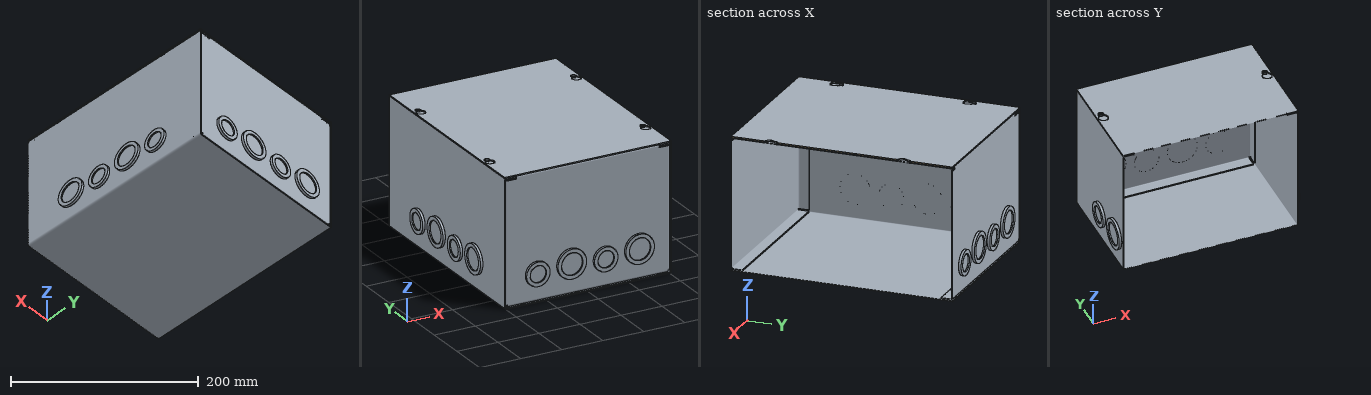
import cadquery as cq


TOTAL_LENGTH = 260.0
TOTAL_WIDTH = 209.3
BODY_HEIGHT = 152.3
LENGTH = 254.0
KNOCKOUT_RISE = (TOTAL_LENGTH - LENGTH) / 2
WIDTH = TOTAL_WIDTH - 2 * KNOCKOUT_RISE

SHEET = 1.43
BEND_INSIDE = 0.9
BEND_OUTSIDE = BEND_INSIDE + SHEET
FLANGE = 13.0
FLOOR_CLEARANCE = 0.5

LIP_CLEARANCE = 1.5
TOP_RELIEF_WIDTH = FLANGE - SHEET + LIP_CLEARANCE
TOP_RELIEF_HEIGHT = 3.5

KNOCKOUT_PITCH = 41.3
SMALL_RADIUS = 14.3
SMALL_RECESS_RADIUS = 10.0
LARGE_RADIUS = 17.5
LARGE_RECESS_RADIUS = 13.0
RECESS_DEPTH = 1.5
END_ROW_BOTTOM = 19.8
SIDE_ROW_BOTTOM = END_ROW_BOTTOM - BEND_OUTSIDE

SCREW_X = 95.0
SCREW_Y = 76.2
SCREW_HOLE_RADIUS = 2.0
KEYHOLE_SLOT_RADIUS = 3.0
KEYHOLE_HEAD_DIAMETER = 10.7
KEYHOLE_TRAVEL = 6.5
SCREW_POINTS = [(x, y) for x in (-SCREW_X, SCREW_X) for y in (-SCREW_Y, SCREW_Y)]


def block(width, length, height, bottom):
    """Box centred on X and Y, standing on the given height."""
    base = cq.Workplane("XY", origin=(0, 0, bottom))
    return base.box(width, length, height, centered=(True, True, False))


def knockout_row(row_bottom):
    """Four recessed discs rising toward -Y from the plane Y = 0, small one first at -X."""
    sizes = [(SMALL_RADIUS, SMALL_RECESS_RADIUS), (LARGE_RADIUS, LARGE_RECESS_RADIUS)] * 2
    row = cq.Workplane("XZ")
    for index, (radius, recess_radius) in enumerate(sizes):
        x = (index - (len(sizes) - 1) / 2) * KNOCKOUT_PITCH
        centre = (x, row_bottom + radius)
        disc = cq.Workplane("XZ", origin=(0, SHEET, 0)).moveTo(*centre).circle(radius)
        disc = disc.extrude(SHEET + KNOCKOUT_RISE)
        recess = cq.Workplane("XZ", origin=(0, -KNOCKOUT_RISE, 0)).moveTo(*centre)
        recess = recess.circle(recess_radius).extrude(-RECESS_DEPTH)
        row = row.add(disc.cut(recess))
    return row.combine()


def make_wrapper():
    """Floor, two sides and two top lips, bent from one sheet."""
    outside = block(WIDTH, LENGTH, BODY_HEIGHT, 0).edges("|Y").fillet(BEND_OUTSIDE)
    inside = block(WIDTH - 2 * SHEET, LENGTH, BODY_HEIGHT - 2 * SHEET, SHEET)
    inside = inside.edges("|Y").fillet(BEND_INSIDE)
    top_opening = block(WIDTH - 2 * FLANGE, LENGTH, 2 * SHEET, BODY_HEIGHT - 2 * SHEET)
    screw_holes = cq.Workplane("XY", origin=(0, 0, BODY_HEIGHT)).pushPoints(SCREW_POINTS)
    screw_holes = screw_holes.circle(SCREW_HOLE_RADIUS).extrude(-SHEET)
    wrapper = outside.cut(inside).cut(top_opening).cut(screw_holes)

    left_row = knockout_row(SIDE_ROW_BOTTOM).rotate((0, 0, 0), (0, 0, 1), -90)
    left_row = left_row.translate((-WIDTH / 2, 0, 0))
    return wrapper.union(left_row).union(left_row.mirror("YZ"))


def make_end_plate():
    """The -Y end plate: a shallow tray with flanges turned inward, toward +Y."""
    width = WIDTH - 2 * SHEET
    bottom = SHEET + FLOOR_CLEARANCE
    height = BODY_HEIGHT - bottom
    front_y = -LENGTH / 2
    mid_y = front_y + FLANGE / 2
    outside = block(width, FLANGE, height, bottom)
    outside = outside.faces("<Y").edges().fillet(BEND_OUTSIDE)
    inside = block(width - 2 * SHEET, FLANGE, height - 2 * SHEET, bottom + SHEET)
    inside = inside.faces("<Y").edges().fillet(BEND_INSIDE)
    plate = outside.cut(inside.translate((0, SHEET, 0)))
    for side in (-1, 1):
        bottom_relief = block(2 * BEND_OUTSIDE, FLANGE, BEND_OUTSIDE, bottom)
        top_relief = block(2 * TOP_RELIEF_WIDTH, FLANGE, TOP_RELIEF_HEIGHT, BODY_HEIGHT - TOP_RELIEF_HEIGHT)
        for relief in (bottom_relief, top_relief):
            plate = plate.cut(relief.translate((side * width / 2, 0, 0)))
    plate = plate.translate((0, mid_y, 0))
    return plate.union(knockout_row(END_ROW_BOTTOM).translate((0, front_y, 0)))


def make_cover():
    """Flat cover with four keyholes whose head openings lie on the -Y side."""
    cover = block(WIDTH, LENGTH, SHEET, BODY_HEIGHT)
    for x, y in SCREW_POINTS:
        head_y = y - KEYHOLE_TRAVEL
        head = cq.Workplane("XY", origin=(x, head_y, BODY_HEIGHT))
        head = head.circle(KEYHOLE_HEAD_DIAMETER / 2).extrude(SHEET)
        slot_end = cq.Workplane("XY", origin=(x, y, BODY_HEIGHT)).circle(KEYHOLE_SLOT_RADIUS).extrude(SHEET)
        slot = block(2 * KEYHOLE_SLOT_RADIUS, KEYHOLE_TRAVEL, SHEET, BODY_HEIGHT)
        slot = slot.translate((x, (y + head_y) / 2, 0))
        cover = cover.cut(head).cut(slot_end).cut(slot)
    return cover


wrapper = make_wrapper()
cover = make_cover()
end_plates = [make_end_plate().rotate((0, 0, 0), (0, 0, 1), angle) for angle in (0, 180)]

end_plate_solids = [plate.val() for plate in end_plates]
result = cq.Compound.makeCompound([wrapper.val(), cover.val(), *end_plate_solids])